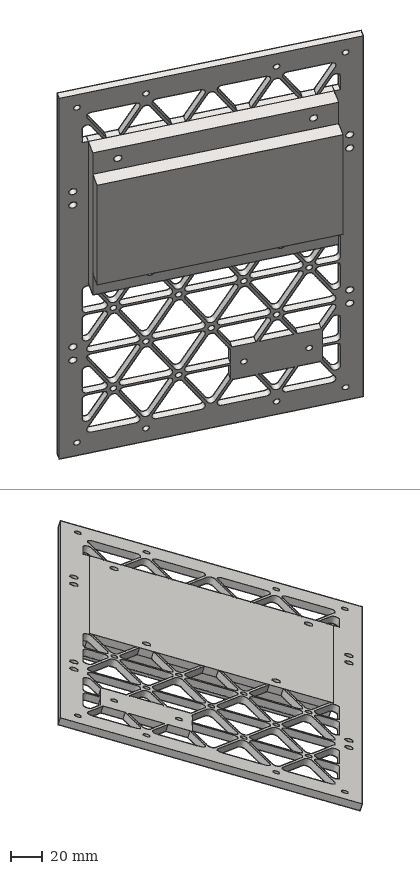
import cadquery as cq
import math


PLATE_WIDTH = 198.0
PLATE_HEIGHT = 330.0
PLATE_THICKNESS = 5.0
LEAN = 60.0

LATTICE_WIDTH = 170.0
NODE_PITCH = LATTICE_WIDTH / 4
ROW_PITCH = NODE_PITCH * math.sqrt(3) / 2
ROW_COUNT = 8
STRUT_WIDTH = 2.0
WINDOW_FILLET = 3.0
NODE_HOLE_DIAMETER = 4.3

PAD_WIDTH = 60.0
PAD_HEIGHT = 30.0
PAD_CENTER = (NODE_PITCH, -110.0)

END_HOLE_DIAMETER = 4.3
END_HOLE_INSET = 12.0
CORNER_HOLE_X = 87.5
SIDE_HOLE_DIAMETER = 5.3
SIDE_HOLE_X = 90.0
SIDE_PAIR_Y = 71.0
SIDE_PAIR_SPACING = 12.2

PANEL_WIDTH = 160.0
PANEL_HEIGHT = 130.0
PANEL_CENTER_Y = 55.0
PANEL_HOLE_DIAMETER = 5.3
BACKING_THICKNESS = 10.2
BOX_HEIGHT = 91.0
STACK_DEPTH = 25.0
BOX_DEPTH = STACK_DEPTH - PLATE_THICKNESS - BACKING_THICKNESS


def row_y(row):
    """Height of a lattice row above mid-height."""
    return (row - ROW_COUNT / 2) * ROW_PITCH


def block(width, height, depth, center, front=0.0):
    """Rectangular block whose front face lies at the given depth."""
    return cq.Workplane("XY", origin=(*center, front)).rect(width, height).extrude(depth)


def drills(points, diameter, depth, front=0.0):
    """Round cutters at the given points."""
    return cq.Workplane("XY").workplane(offset=front).pushPoints(points).circle(diameter / 2).extrude(depth)


def window(corners, fillet):
    """Cutter for one rounded opening."""
    outline = cq.Workplane("XY").polyline(corners).close()
    return outline.extrude(PLATE_THICKNESS).edges("|Z").fillet(fillet)


def full_window(center_x, base_y, up):
    """Triangular opening between three nodes; up is 1 or -1, the way its apex points."""
    inset = STRUT_WIDTH / 2
    half_base = NODE_PITCH / 2 - inset * math.sqrt(3)
    corners = [
        (center_x - half_base, base_y + up * inset),
        (center_x + half_base, base_y + up * inset),
        (center_x, base_y + up * (ROW_PITCH - 2 * inset)),
    ]
    return window(corners, WINDOW_FILLET)


def side_window(side, base_y, up):
    """Right-angled opening between the outermost node of a row and the frame."""
    inset = STRUT_WIDTH / 2
    wall_x = LATTICE_WIDTH / 2 - inset
    node_x = 1.5 * NODE_PITCH
    toe_x = node_x + inset * math.sqrt(3)
    tip_rise = (wall_x - toe_x) * math.sqrt(3)
    corners = [
        (side * toe_x, base_y + up * inset),
        (side * wall_x, base_y + up * inset),
        (side * wall_x, base_y + up * (inset + tip_rise)),
    ]
    return window(corners, WINDOW_FILLET)


def lattice_windows():
    """All openings: four full triangles on each even row, three and two halves on each odd row."""
    cutters = []
    for row in range(ROW_COUNT):
        up = 1 if row % 2 == 0 else -1
        even_row_y, odd_row_y = (row_y(row), row_y(row + 1))[::up]
        for step in (-1.5, -0.5, 0.5, 1.5):
            cutters.append(full_window(step * NODE_PITCH, even_row_y, up))
        for step in (-1, 0, 1):
            cutters.append(full_window(step * NODE_PITCH, odd_row_y, -up))
        for side in (-1, 1):
            cutters.append(side_window(side, odd_row_y, -up))
    return cq.Workplane(cq.Compound.makeCompound([cutter.val() for cutter in cutters]))


def node_holes():
    """Holes in the lattice nodes below the insert, including the two in the pad."""
    odd_steps = (-1.5, -0.5, 0.5, 1.5)
    points = [(step * NODE_PITCH, row_y(row)) for row in (1, 3) for step in odd_steps]
    points += [(step * NODE_PITCH, row_y(2)) for step in (-1, 0, 1)]
    return drills(points, NODE_HOLE_DIAMETER, PLATE_THICKNESS)


def frame_holes():
    """Four holes along each end of the frame and two pairs along each side."""
    end_y = PLATE_HEIGHT / 2 - END_HOLE_INSET
    end_xs = (-CORNER_HOLE_X, -NODE_PITCH, NODE_PITCH, CORNER_HOLE_X)
    end_points = [(x, y) for x in end_xs for y in (-end_y, end_y)]
    half_spacing = SIDE_PAIR_SPACING / 2
    side_points = [
        (x, pair_y + shift)
        for x in (-SIDE_HOLE_X, SIDE_HOLE_X)
        for pair_y in (-SIDE_PAIR_Y, SIDE_PAIR_Y)
        for shift in (-half_spacing, half_spacing)
    ]
    end_holes = drills(end_points, END_HOLE_DIAMETER, PLATE_THICKNESS)
    return end_holes.add(drills(side_points, SIDE_HOLE_DIAMETER, PLATE_THICKNESS)).combine()


def make_plate():
    """Frame with its lattice and pad, open where the insert sits."""
    panel_center = (0, PANEL_CENTER_Y)
    solid_band = block(PLATE_WIDTH, PANEL_HEIGHT, PLATE_THICKNESS, panel_center)
    pad = block(PAD_WIDTH, PAD_HEIGHT, PLATE_THICKNESS, PAD_CENTER)
    openings = lattice_windows().cut(solid_band).cut(pad)
    plate = block(PLATE_WIDTH, PLATE_HEIGHT, PLATE_THICKNESS, (0, 0)).cut(openings)
    plate = plate.cut(block(PANEL_WIDTH, PANEL_HEIGHT, PLATE_THICKNESS, panel_center))
    return plate.cut(node_holes()).cut(frame_holes())


def make_panel(front, thickness):
    """Rectangular layer with four holes that line up with lattice nodes."""
    points = [(side * 1.5 * NODE_PITCH, row_y(7)) for side in (-1, 1)]
    points += [(side * NODE_PITCH, row_y(4)) for side in (-1, 1)]
    panel = block(PANEL_WIDTH, PANEL_HEIGHT, thickness, (0, PANEL_CENTER_Y), front)
    return panel.cut(drills(points, PANEL_HOLE_DIAMETER, thickness, front))


def make_insert():
    """Layer that fills the plate's opening, flush with both faces."""
    return make_panel(0.0, PLATE_THICKNESS)


def make_backing():
    """Thicker layer behind the insert."""
    return make_panel(PLATE_THICKNESS, BACKING_THICKNESS)


def make_box():
    """Plain box on the back of the backing."""
    front = PLATE_THICKNESS + BACKING_THICKNESS
    return block(PANEL_WIDTH, BOX_HEIGHT, BOX_DEPTH, (0, PANEL_CENTER_Y), front)


lean = math.radians(LEAN)
upright = cq.Location(
    cq.Plane(
        origin=(0, 0, 0),
        xDir=(math.cos(lean), math.sin(lean), 0),
        normal=(math.sin(lean), -math.cos(lean), 0),
    )
)

plate = make_plate()
insert = make_insert()
backing = make_backing()
box = make_box()

result = cq.Compound.makeCompound([body.val().moved(upright) for body in (plate, insert, backing, box)])